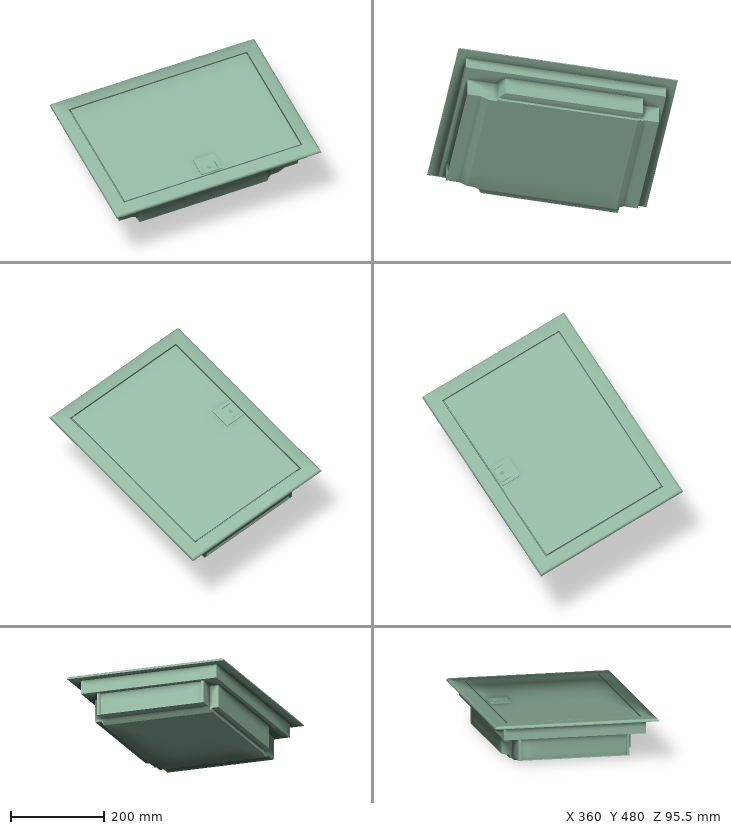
import cadquery as cq

BOX_LENGTH = 419.5
BOX_END_WIDTH = 245.5
BOX_SIDE_WIDTH = 284.0
BOX_BASE_WIDTH = 252.0
BOX_HEIGHT = 57.5
BASE_STEP = 7.0
SIDE_FRONT_Y = -170.5
SIDE_BACK_Y = 129.5
SIDE_SLANT_LENGTH = 16.0
RAMP_HEIGHT = 8.5
RAMP_OUTER_Y = 179.5
RAMP_INNER_Y = 163.0
END_PANEL_WIDTH = 233.5
END_PANEL_BOTTOM = 10.5
END_PANEL_DEPTH = 5.0

COLLAR_WIDTH = 312.0
COLLAR_LENGTH = 438.0
COLLAR_HEIGHT = 30.0

FRAME_WIDTH = 360.0
FRAME_LENGTH = 480.0
FRAME_THICKNESS = 6.0
FRAME_ROUNDING = 5.5
OPENING_WIDTH = 297.0
OPENING_LENGTH = 419.0
DOOR_GAP = 3.5
LIP_WIDTH = DOOR_GAP / 2
LIP_THICKNESS = FRAME_THICKNESS / 2
FRONT_LIP_LENGTH = 275.0
HINGE_X = -138.0
HINGE_DIAMETER = 3.5

PLATE_WIDTH = 45.5
PLATE_LENGTH = 48.5
PLATE_RISE = 2.0
PLATE_DEPTH = 3.5
PLATE_X = 119.5
LOCK_Y = 0.0
INSERT_WIDTH = 22.0
INSERT_LENGTH = 33.5
INSERT_X = 127.5
INSERT_THICKNESS = 3.0
INSERT_END_CHAMFER = 1.5
DIMPLE_DIAMETER = 12.5
DIMPLE_DEPTH = 2.5

COLLAR_TOP = BOX_HEIGHT + COLLAR_HEIGHT
FRAME_TOP = COLLAR_TOP + FRAME_THICKNESS
PLATE_TOP = FRAME_TOP + PLATE_RISE
PLATE_BOTTOM = FRAME_TOP - PLATE_DEPTH
INSERT_BOTTOM = PLATE_TOP - INSERT_THICKNESS


def block(width, length, bottom, top, x=0.0, y=0.0):
    """Upright rectangular block centred on (x, y)."""
    return cq.Workplane("XY", origin=(x, y, bottom)).rect(width, length).extrude(top - bottom)


def make_wide_sides():
    """Wide middle stretch: square at its front end, slanted at its back end."""
    half_side = BOX_SIDE_WIDTH / 2
    half_end = BOX_END_WIDTH / 2
    slant_end_y = SIDE_BACK_Y + SIDE_SLANT_LENGTH
    return (
        cq.Workplane("XY")
        .moveTo(-half_side, SIDE_FRONT_Y)
        .lineTo(half_side, SIDE_FRONT_Y)
        .lineTo(half_side, SIDE_BACK_Y)
        .lineTo(half_end, slant_end_y)
        .lineTo(-half_end, slant_end_y)
        .lineTo(-half_side, SIDE_BACK_Y)
        .close()
        .extrude(BOX_HEIGHT)
    )


def make_side_steps():
    """Cutters that raise the underside of the wide stretch on both sides."""
    step_width = (BOX_SIDE_WIDTH - BOX_BASE_WIDTH) / 2
    step_x = (BOX_SIDE_WIDTH + BOX_BASE_WIDTH) / 4
    right = block(step_width, BOX_LENGTH, 0, BASE_STEP, step_x)
    left = block(step_width, BOX_LENGTH, 0, BASE_STEP, -step_x)
    return right.union(left)


def make_end_ramp():
    """Cutter for the sloped underside at the back end."""
    half_length = BOX_LENGTH / 2
    return (
        cq.Workplane("YZ")
        .moveTo(RAMP_INNER_Y, 0)
        .lineTo(RAMP_OUTER_Y, RAMP_HEIGHT)
        .lineTo(half_length, RAMP_HEIGHT)
        .lineTo(half_length, 0)
        .close()
        .extrude(BOX_SIDE_WIDTH / 2, both=True)
    )


def make_end_panel():
    """Cutter for the shallow panel sunk into the back end face."""
    panel_y = (BOX_LENGTH - END_PANEL_DEPTH) / 2
    return block(END_PANEL_WIDTH, END_PANEL_DEPTH, END_PANEL_BOTTOM, BOX_HEIGHT, y=panel_y)


def make_box():
    box = block(BOX_END_WIDTH, BOX_LENGTH, 0, BOX_HEIGHT)
    box = box.union(make_wide_sides()).cut(make_side_steps())
    for cutter in (make_end_ramp(), make_end_panel()):
        box = box.cut(cutter).cut(cutter.mirror("XZ"))
    return box


def make_collar():
    return block(COLLAR_WIDTH, COLLAR_LENGTH, BOX_HEIGHT, COLLAR_TOP)


def make_frame():
    """Flat frame with a rounded outer edge and a rectangular door opening."""
    frame = block(FRAME_WIDTH, FRAME_LENGTH, COLLAR_TOP, FRAME_TOP)
    frame = frame.faces(">Z").edges().fillet(FRAME_ROUNDING)
    return frame.cut(block(OPENING_WIDTH, OPENING_LENGTH, COLLAR_TOP, FRAME_TOP))


def make_hinge_stub(start_y):
    """Short round stub that bridges the gap between door and frame."""
    hinge_z = (COLLAR_TOP + FRAME_TOP) / 2
    stub = cq.Solid.makeCylinder(
        HINGE_DIAMETER / 2, DOOR_GAP, cq.Vector(HINGE_X, start_y, hinge_z), cq.Vector(0, 1, 0)
    )
    return cq.Workplane(stub)


def make_door():
    """Door panel with edge lips, hinge stubs and a seat for the lock plate."""
    width = OPENING_WIDTH - 2 * DOOR_GAP
    length = OPENING_LENGTH - 2 * DOOR_GAP
    lip_top = COLLAR_TOP + LIP_THICKNESS
    front_lip_y = -(length + LIP_WIDTH) / 2
    door = block(width, length, COLLAR_TOP, FRAME_TOP)
    door = door.union(block(width + 2 * LIP_WIDTH, length, COLLAR_TOP, lip_top))
    door = door.union(block(FRONT_LIP_LENGTH, LIP_WIDTH, COLLAR_TOP, lip_top, y=front_lip_y))
    for start_y in (length / 2, -OPENING_LENGTH / 2):
        door = door.union(make_hinge_stub(start_y))
    return door.cut(block(PLATE_WIDTH, PLATE_LENGTH, PLATE_BOTTOM, FRAME_TOP, PLATE_X, LOCK_Y))


def make_lock_insert():
    """Small block with chamfered ends and a conical dimple."""
    insert = block(INSERT_WIDTH, INSERT_LENGTH, INSERT_BOTTOM, PLATE_TOP, INSERT_X, LOCK_Y)
    insert = insert.faces(">Z").edges("|X").chamfer(INSERT_END_CHAMFER)
    dimple = cq.Solid.makeCone(
        0, DIMPLE_DIAMETER / 2, DIMPLE_DEPTH, cq.Vector(INSERT_X, LOCK_Y, PLATE_TOP - DIMPLE_DEPTH)
    )
    return insert.cut(cq.Workplane(dimple))


def make_lock_plate():
    """Plate standing slightly proud of the door, with a pocket for the insert."""
    plate = block(PLATE_WIDTH, PLATE_LENGTH, PLATE_BOTTOM, PLATE_TOP, PLATE_X, LOCK_Y)
    return plate.cut(block(INSERT_WIDTH, INSERT_LENGTH, INSERT_BOTTOM, PLATE_TOP, INSERT_X, LOCK_Y))


box = make_box()
collar = make_collar()
frame = make_frame()
door = make_door()
lock_plate = make_lock_plate()
lock_insert = make_lock_insert()

result = cq.Compound.makeCompound(
    [box.val(), collar.val(), frame.val(), door.val(), lock_plate.val(), lock_insert.val()]
)